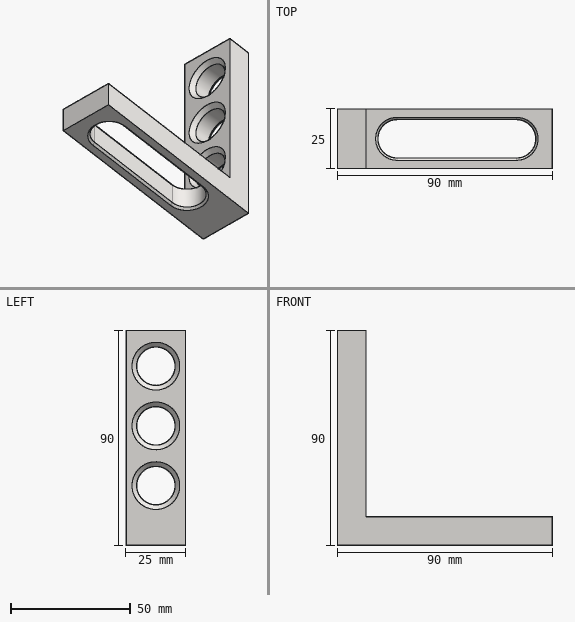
import cadquery as cq

leg_length = 90.0
width = 25.0
thickness = 12.0

hole_diameter = 16.0
hole_chamfer = 2.0
hole_pitch = 25.0
hole_count = 3

slot_width = 16.0
slot_chamfer = 1.0
slot_center = 50.0
slot_spacing = 50.0


def make_bracket():
    """L profile with its outer corner at X = Z = 0, centred on Y = 0."""
    profile = [
        (0, 0),
        (leg_length, 0),
        (leg_length, thickness),
        (thickness, thickness),
        (thickness, leg_length),
        (0, leg_length),
    ]
    return cq.Workplane("XZ").polyline(profile).close().extrude(width / 2, both=True)


def make_hole_cutter(height):
    """Hole along X at the given height, chamfered at both faces of the upright leg."""
    radius = hole_diameter / 2
    mouth_radius = radius + hole_chamfer
    half_section = [
        (0, 0),
        (0, mouth_radius),
        (hole_chamfer, radius),
        (thickness - hole_chamfer, radius),
        (thickness, mouth_radius),
        (thickness, 0),
    ]
    cutter = cq.Workplane("XY").polyline(half_section).close().revolve(360, (0, 0), (1, 0))
    return cutter.translate((0, 0, height))


def make_slot_mouth(face_height, depth):
    """Stadium on a face of the leg, narrowing at 45 degrees to the slot width."""
    mouth_width = slot_width + 2 * slot_chamfer
    return (
        cq.Workplane("XY", origin=(slot_center, 0, face_height))
        .slot2D(slot_spacing + mouth_width, mouth_width)
        .extrude(depth, taper=45)
    )


def make_slot_cutter():
    """Round-ended slot along X, chamfered at both faces of the horizontal leg."""
    slot = (
        cq.Workplane("XY", origin=(slot_center, 0, 0))
        .slot2D(slot_spacing + slot_width, slot_width)
        .extrude(thickness)
    )
    lower_mouth = make_slot_mouth(0, slot_chamfer)
    upper_mouth = make_slot_mouth(thickness, -slot_chamfer)
    return slot.union(lower_mouth).union(upper_mouth)


result = make_bracket().cut(make_slot_cutter())
for index in range(hole_count):
    result = result.cut(make_hole_cutter(hole_pitch * (index + 1)))